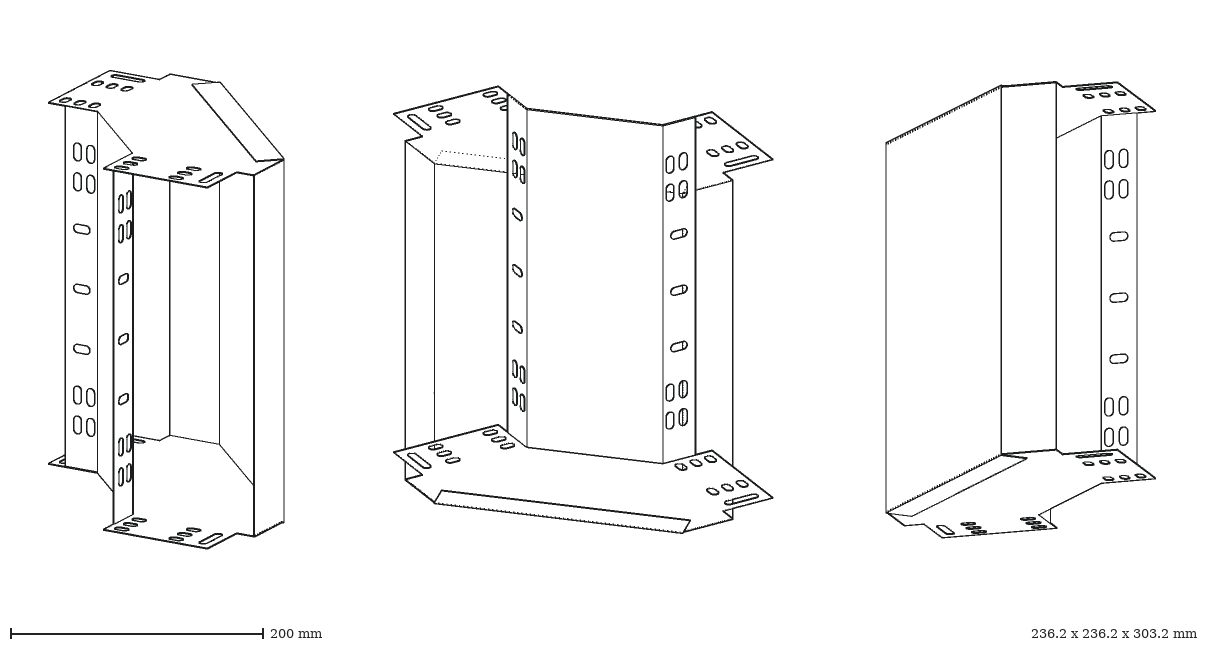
import cadquery as cq
import math


SIZE = 236.2
HEIGHT = 303.2
SHEET = 0.82

ARM_NEAR = 124.0
ARM_FAR = 219.8
STEP_ALONG = 45.8
INNER_BEND_ALONG = 45.2
FLANGE_ALONG = 15.5

COVER_BEND_ALONG = 92.0
LIP_WIDTH = 23.0

SLOT_WIDTH = 7.0
SHORT_SLOT_LENGTH = 12.0
SHORT_SLOTS_ALONG = (8.5, 21.8, 35.5)
SHORT_SLOTS_ACROSS = (136.0, 186.2)
LONG_SLOT_LENGTH = 30.0
LONG_SLOT_ALONG = 22.7
LONG_SLOT_ACROSS = 209.5
FLANGE_SLOT_LENGTH = 15.0
UPRIGHT_SLOTS_ALONG = (26.7, 38.8)
UPRIGHT_SLOT_LEVELS = (88.8, 113.7)
LEVEL_SLOT_ALONG = 30.5
LEVEL_SLOT_PITCH = 50.0

plate_outside = HEIGHT / 2 - SHEET
plate_inside = plate_outside - SHEET
cover_inside = SIZE - SHEET
bend_shift = SHEET * math.tan(math.pi / 8)


def mirrored(points):
    """The same points reflected across the plane X = Y, in reverse order."""
    return [(y, x) for x, y in reversed(points)]


def symmetric_prism(half_outline, bottom, top):
    """Upright prism over a half outline and its reflection."""
    outline = half_outline + mirrored(half_outline)
    return cq.Workplane("XY").workplane(offset=bottom).polyline(outline).close().extrude(top - bottom)


def bent_sheet(outer, inner, half_height):
    """Upright bent sheet between an outer and an inner half line, centred at mid-height."""
    outline = outer + mirrored(outer) + list(reversed(inner + mirrored(inner)))
    base = cq.Workplane("XY").workplane(offset=-half_height)
    return base.polyline(outline).close().extrude(2 * half_height)


def on_both_arms(shape):
    """The shape together with its reflection across the plane X = Y."""
    reflection = shape.mirror("XZ").rotate((0, 0, 0), (0, 0, 1), 90)
    return shape.union(reflection)


def make_plate(bottom):
    """Flat plate with two arms; its outer edges lie against the inside of the cover."""
    half_outline = [
        (INNER_BEND_ALONG, ARM_NEAR),
        (0, ARM_NEAR),
        (0, ARM_FAR),
        (STEP_ALONG, ARM_FAR),
        (STEP_ALONG, cover_inside),
        (COVER_BEND_ALONG - bend_shift, cover_inside),
    ]
    return symmetric_prism(half_outline, bottom, bottom + SHEET)


def make_inner_wall():
    """Diagonal wall across the inner corner, with a flange along each arm."""
    wall_back = ARM_NEAR + SHEET
    outer = [(FLANGE_ALONG, ARM_NEAR), (INNER_BEND_ALONG, ARM_NEAR)]
    inner = [(FLANGE_ALONG, wall_back), (INNER_BEND_ALONG + bend_shift, wall_back)]
    return bent_sheet(outer, inner, plate_outside)


def plate_slots():
    """Upright cutters for the slots in the arms of both plates."""
    base = cq.Workplane("XY").workplane(offset=-HEIGHT / 2)
    short_centres = [(x, y) for x in SHORT_SLOTS_ALONG for y in SHORT_SLOTS_ACROSS]
    short_slots = base.pushPoints(short_centres).slot2D(SHORT_SLOT_LENGTH, SLOT_WIDTH, 90).extrude(HEIGHT)
    long_centre = [(LONG_SLOT_ALONG, LONG_SLOT_ACROSS)]
    long_slot = base.pushPoints(long_centre).slot2D(LONG_SLOT_LENGTH, SLOT_WIDTH).extrude(HEIGHT)
    return on_both_arms(short_slots.union(long_slot))


def flange_slots():
    """Level cutters for the slots in both flanges, passing one sheet beyond each face."""
    depth = 3 * SHEET
    base = cq.Workplane("XZ", origin=(0, ARM_NEAR + 2 * SHEET, 0))
    upright_centres = [
        (x, side * z) for x in UPRIGHT_SLOTS_ALONG for z in UPRIGHT_SLOT_LEVELS for side in (-1, 1)
    ]
    upright_slots = base.pushPoints(upright_centres).slot2D(FLANGE_SLOT_LENGTH, SLOT_WIDTH, 90).extrude(depth)
    level_centres = [(LEVEL_SLOT_ALONG, step * LEVEL_SLOT_PITCH) for step in (-1, 0, 1)]
    level_slots = base.pushPoints(level_centres).slot2D(FLANGE_SLOT_LENGTH, SLOT_WIDTH).extrude(depth)
    return on_both_arms(upright_slots.union(level_slots))


def make_tray():
    """Two plates joined by the inner wall, with all fixing slots."""
    tray = make_inner_wall()
    for bottom in (-plate_outside, plate_inside):
        tray = tray.union(make_plate(bottom))
    return tray.cut(plate_slots()).cut(flange_slots())


def make_cover():
    """Bent outer wall with two wings; its two lips lie over the plates."""
    outer = [(STEP_ALONG, SIZE), (COVER_BEND_ALONG, SIZE)]
    inner = [(STEP_ALONG, cover_inside), (COVER_BEND_ALONG - bend_shift, cover_inside)]
    cover = bent_sheet(outer, inner, plate_outside)

    inset = LIP_WIDTH / math.sqrt(2)
    lip_half = [(COVER_BEND_ALONG - inset, SIZE - inset), (COVER_BEND_ALONG, SIZE)]
    for bottom in (-HEIGHT / 2, plate_outside):
        cover = cover.union(symmetric_prism(lip_half, bottom, bottom + SHEET))
    return cover


tray = make_tray()
cover = make_cover()
result = cq.Compound.makeCompound([tray.solids().val(), cover.solids().val()])